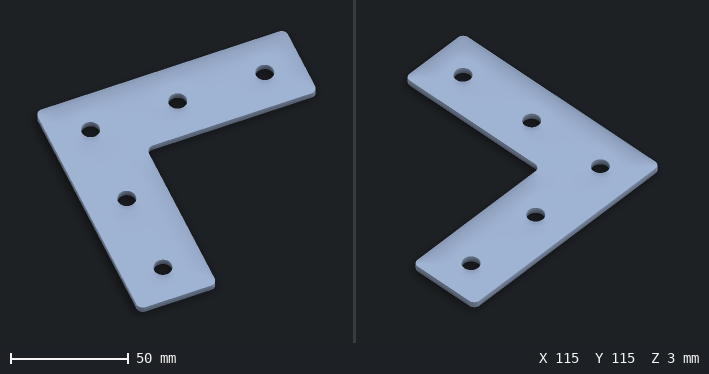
import cadquery as cq

leg_length = 115.0
leg_width = 36.0
thickness = 3.0
outer_corner_radius = 3.0
inner_corner_radius = 3.0
hole_diameter = 8.2
hole_pitch = 40.0
holes_per_leg = 3

leg_centre = leg_width / 2
hole_line = [leg_centre + i * hole_pitch for i in range(holes_per_leg)]
hole_centres = [(x, leg_centre) for x in hole_line]
hole_centres += [(leg_centre, y) for y in hole_line[1:]]


def make_plate():
    """L-shaped flat plate with rounded corners, outer corner at the origin."""
    outline = [
        (0, 0),
        (leg_length, 0),
        (leg_length, leg_width),
        (leg_width, leg_width),
        (leg_width, leg_length),
        (0, leg_length),
    ]
    plate = cq.Workplane("XY").polyline(outline).close().extrude(thickness)
    inner_corner = cq.selectors.NearestToPointSelector((leg_width, leg_width, thickness / 2))
    vertical_edges = cq.selectors.ParallelDirSelector(cq.Vector(0, 0, 1))
    plate = plate.edges(vertical_edges - inner_corner).fillet(outer_corner_radius)
    return plate.edges(inner_corner).fillet(inner_corner_radius)


def make_holes():
    """Through holes along both legs."""
    return cq.Workplane("XY").pushPoints(hole_centres).circle(hole_diameter / 2).extrude(thickness)


result = make_plate().cut(make_holes())